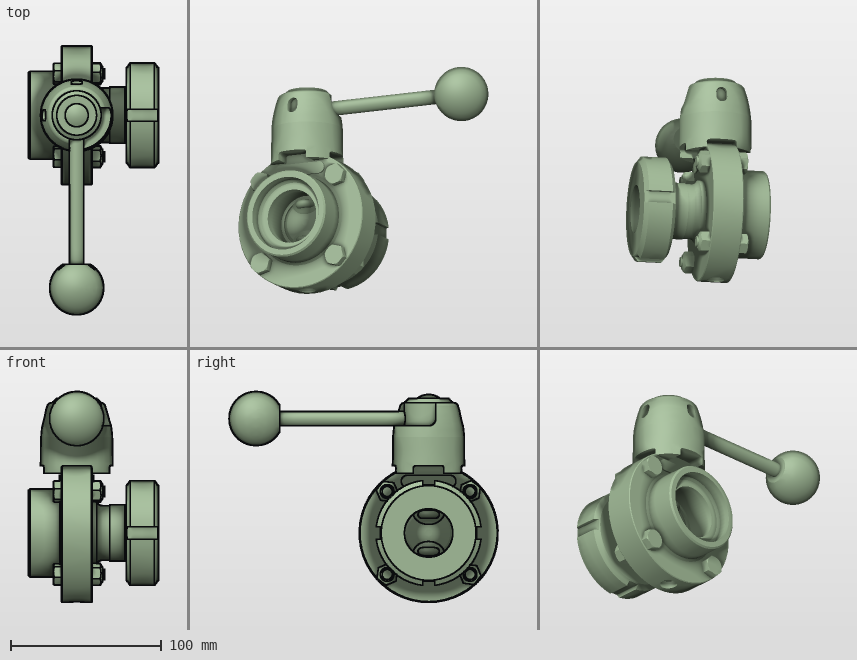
import cadquery as cq
import math


flange_radius = 46.0
flange_half_width = 10.2
flange_chamfer = 0.5
stem_hole_diameter = 11.4
stem_hole_depth = 5.3

pad_length = 36.2
pad_height = 8.0
pad_center_z = 34.2
pad_thickness = 1.2

hub_end_x = -31.9
hub_radius = 29.2
hub_chamfer = 1.0
collar_radius = 30.8
collar_width = 1.0
socket_radius = 24.5
socket_depth = 8.4
socket_bevel_depth = 1.2
socket_floor_radius = 22.6
counterbore_radius = 18.0
counterbore_end_x = -2.1
bore_radius = 16.0

neck_shoulder_x = 13.2
neck_shoulder_radius = 20.8
neck_flare_mid_x = 14.5
neck_flare_mid_radius = 19.0
neck_flare_end_x = 17.3
neck_radius = 18.2
liner_start_x = 22.0
liner_end_x = 31.9
liner_radius = 18.7

union_start_x = 32.8
union_end_x = 54.2
union_radius = 35.0
union_chamfer_radial = 3.5
union_chamfer_axial = 2.7
union_slot_width = 8.0
union_slot_depth = 3.0
union_slot_count = 4

disc_flat_radius = 2.3
disc_center_half_width = 2.1
disc_edge_radius = 14.3
disc_edge_half_width = 1.2
disc_rim_half_width = 0.5
trunnion_radius = 7.5
trunnion_tube_radius = 2.7
trunnion_center_z = 12.3
boss_base_radius = 10.3
boss_top_radius = 4.8
boss_half_width = 3.5
boss_center_z = 14.5

bolt_offset = 27.5
hex_corner_diameter = 14.6
head_height = 5.3
head_chamfer = 0.9
nut_height = 7.1
nut_turn = 8.0
nut_cone_height = 1.8
nut_tip_diameter = 9.0
stud_diameter = 6.8
stud_end_x = 18.5

housing_bottom_z = 39.4
rim_notch_top_z = 44.5
housing_bottom_radius = 24.0
housing_waist_z = 63.5
housing_waist_radius = 23.7
housing_mid_z = 74.0
housing_mid_radius = 22.3
housing_shoulder_z = 83.7
housing_shoulder_radius = 19.6
housing_rim_mid_radius = 18.5
housing_rim_mid_z = 85.5
rim_notch_round = 1.8

core_radius = 16.2
core_bevel_z = 86.2
core_top_radius = 13.2
core_top_z = 89.0
button_radius = 7.7
button_height = 2.7

handle_z = 75.7
rod_radius = 4.8
ball_radius = 18.0
ball_center_y = -114.2
ball_flat_y = -98.5

window_width = 7.3
window_height = 10.3


def turned_about_x(outline):
    """Revolve an outline of (x, radius) about the pipe axis."""
    return outline.close().revolve(360, (0, 0, 0), (1, 0, 0))


def turned_about_z(outline):
    """Revolve an outline of (radius, z) about the stem axis."""
    return outline.close().revolve(360, (0, 0, 0), (0, 1, 0))


def cylinder_x(radius, start_x, end_x):
    return cq.Workplane("YZ", origin=(start_x, 0, 0)).circle(radius).extrude(end_x - start_x)


def box_between(low, high):
    size = [b - a for a, b in zip(low, high)]
    return cq.Workplane("XY").box(*size, centered=False).translate(low)


def make_flange():
    flange = cylinder_x(flange_radius, -flange_half_width, flange_half_width)
    flange = flange.faces("<X or >X").chamfer(flange_chamfer)
    hole_mouth = cq.Workplane("XY", origin=(0, 0, -flange_radius))
    stem_hole = hole_mouth.circle(stem_hole_diameter / 2).extrude(stem_hole_depth)
    pad_reach = flange_half_width + pad_thickness
    pads = (
        cq.Workplane("YZ", origin=(-pad_reach, 0, 0))
        .center(0, pad_center_z)
        .slot2D(pad_length, pad_height)
        .extrude(2 * pad_reach)
    )
    return flange.cut(stem_hole).union(pads)


def make_hub():
    hub = cylinder_x(hub_radius, hub_end_x, 0).faces("<X").chamfer(hub_chamfer)
    collar = turned_about_x(
        cq.Workplane("XY")
        .moveTo(-flange_half_width - collar_width, 0)
        .lineTo(-flange_half_width - collar_width, hub_radius)
        .lineTo(-flange_half_width, collar_radius)
        .lineTo(-flange_half_width, 0)
    )
    return hub.union(collar)


def make_neck():
    return turned_about_x(
        cq.Workplane("XY")
        .moveTo(0, 0)
        .lineTo(0, neck_shoulder_radius)
        .lineTo(neck_shoulder_x, neck_shoulder_radius)
        .threePointArc((neck_flare_mid_x, neck_flare_mid_radius), (neck_flare_end_x, neck_radius))
        .lineTo(liner_start_x, neck_radius)
        .lineTo(liner_start_x, liner_radius)
        .lineTo(liner_end_x, liner_radius)
        .lineTo(liner_end_x, neck_radius)
        .lineTo(union_start_x, neck_radius)
        .lineTo(union_start_x, 0)
    )


def make_union_nut():
    face_radius = union_radius - union_chamfer_radial
    nut = turned_about_x(
        cq.Workplane("XY")
        .moveTo(union_start_x, 0)
        .lineTo(union_start_x, face_radius)
        .lineTo(union_start_x + union_chamfer_axial, union_radius)
        .lineTo(union_end_x - union_chamfer_axial, union_radius)
        .lineTo(union_end_x, face_radius)
        .lineTo(union_end_x, 0)
    )
    slot = box_between(
        (union_start_x, -union_slot_width / 2, union_radius - union_slot_depth),
        (union_end_x, union_slot_width / 2, union_radius + union_slot_depth),
    )
    for index in range(union_slot_count):
        nut = nut.cut(slot.rotate((0, 0, 0), (1, 0, 0), index * 360 / union_slot_count))
    return nut


def make_passage():
    """Stepped socket and bore through the whole pipe line."""
    socket_floor_x = hub_end_x + socket_depth + socket_bevel_depth
    return turned_about_x(
        cq.Workplane("XY")
        .moveTo(hub_end_x, 0)
        .lineTo(hub_end_x, socket_radius)
        .lineTo(hub_end_x + socket_depth, socket_radius)
        .lineTo(socket_floor_x, socket_floor_radius)
        .lineTo(socket_floor_x, counterbore_radius)
        .lineTo(counterbore_end_x, counterbore_radius)
        .lineTo(counterbore_end_x, bore_radius)
        .lineTo(union_end_x, bore_radius)
        .lineTo(union_end_x, 0)
    )


def make_disc():
    """Lens-shaped disc with a round-edged trunnion and tapered bosses at its top and bottom."""
    half_section = [
        (disc_center_half_width, 0),
        (disc_center_half_width, disc_flat_radius),
        (disc_edge_half_width, disc_edge_radius),
        (disc_rim_half_width, bore_radius),
    ]
    mirrored = [(-x, radius) for x, radius in reversed(half_section)]
    disc = turned_about_x(cq.Workplane("XY").polyline(half_section + mirrored))

    boss = turned_about_x(
        cq.Workplane("XY")
        .moveTo(-boss_half_width, 0)
        .lineTo(-boss_half_width, boss_top_radius)
        .lineTo(-disc_edge_half_width, boss_base_radius)
        .lineTo(disc_edge_half_width, boss_base_radius)
        .lineTo(boss_half_width, boss_top_radius)
        .lineTo(boss_half_width, 0)
    ).translate((0, 0, boss_center_z))
    boss = boss.intersect(cylinder_x(bore_radius, -boss_half_width, boss_half_width))

    ring_start_z = trunnion_center_z - trunnion_tube_radius
    ring_end_z = trunnion_center_z + trunnion_tube_radius
    ring_flat_radius = trunnion_radius - trunnion_tube_radius
    trunnion = turned_about_z(
        cq.Workplane("XZ")
        .moveTo(0, ring_start_z)
        .lineTo(ring_flat_radius, ring_start_z)
        .threePointArc((trunnion_radius, trunnion_center_z), (ring_flat_radius, ring_end_z))
        .lineTo(0, ring_end_z)
    )
    trunnion = trunnion.union(boss)
    return disc.union(trunnion).union(trunnion.mirror("XY"))


def make_bolt():
    """Bolt along X on the pipe axis, head flat facing +Z and nut turned slightly past it."""
    head_start_x = -flange_half_width - head_height
    nut_end_x = flange_half_width + nut_height
    corner_radius = hex_corner_diameter / 2
    head = (
        cq.Workplane("YZ", origin=(head_start_x, 0, 0))
        .polygon(6, hex_corner_diameter)
        .extrude(head_height)
    )
    nut = (
        cq.Workplane("YZ", origin=(flange_half_width, 0, 0))
        .polygon(6, hex_corner_diameter)
        .extrude(nut_height)
        .rotate((0, 0, 0), (1, 0, 0), nut_turn)
    )
    chamfer_limits = turned_about_x(
        cq.Workplane("XY")
        .moveTo(head_start_x, 0)
        .lineTo(head_start_x, corner_radius - head_chamfer)
        .lineTo(head_start_x + head_chamfer, corner_radius)
        .lineTo(nut_end_x - nut_cone_height, corner_radius)
        .lineTo(nut_end_x, nut_tip_diameter / 2)
        .lineTo(nut_end_x, 0)
    )
    stud = cylinder_x(stud_diameter / 2, -flange_half_width, stud_end_x)
    return head.union(nut).intersect(chamfer_limits).union(stud)


def make_bolts():
    circle_radius = bolt_offset * math.sqrt(2)
    bolt = make_bolt().translate((0, 0, circle_radius))
    bolts = cq.Workplane("XY")
    for angle in (45, 135, 225, 315):
        bolts = bolts.union(bolt.rotate((0, 0, 0), (1, 0, 0), angle))
    return bolts


def make_housing_shell():
    return turned_about_z(
        cq.Workplane("XZ")
        .moveTo(0, housing_bottom_z)
        .lineTo(housing_bottom_radius, housing_bottom_z)
        .lineTo(housing_waist_radius, housing_waist_z)
        .threePointArc(
            (housing_mid_radius, housing_mid_z),
            (housing_shoulder_radius, housing_shoulder_z),
        )
        .threePointArc(
            (housing_rim_mid_radius, housing_rim_mid_z),
            (core_radius, core_bevel_z),
        )
        .lineTo(0, core_bevel_z)
    )


def make_core():
    button_top_z = core_top_z + button_height
    dome_radius = (button_radius**2 + button_height**2) / (2 * button_height)
    dome_mid_radius = button_radius / 2
    dome_mid_z = button_top_z - dome_radius + math.sqrt(dome_radius**2 - dome_mid_radius**2)
    return turned_about_z(
        cq.Workplane("XZ")
        .moveTo(0, rim_notch_top_z)
        .lineTo(core_radius, rim_notch_top_z)
        .lineTo(core_radius, core_bevel_z)
        .lineTo(core_top_radius, core_top_z)
        .lineTo(button_radius, core_top_z)
        .threePointArc((dome_mid_radius, dome_mid_z), (0, button_top_z))
    )


def make_swing_space():
    """Quarter-turn opening for the rod, from -Y round to +X, with rounded ends and an open top."""
    reach = 2 * housing_bottom_radius
    end_along_y = cq.Workplane("XZ").center(0, handle_z).circle(rod_radius).extrude(reach)
    end_along_x = cq.Workplane("YZ").center(0, handle_z).circle(rod_radius).extrude(reach)
    floor_space = box_between((0, -reach, handle_z - rod_radius), (reach, 0, core_top_z))
    upper_space = box_between((-rod_radius, -reach, handle_z), (reach, rod_radius, core_top_z))
    return end_along_y.union(end_along_x).union(floor_space).union(upper_space)


def make_windows():
    """Upright windows on the -X and +Y sides, at the height of the rod."""
    window_x = (
        cq.Workplane("YZ")
        .center(0, handle_z)
        .slot2D(window_height, window_width, 90)
        .extrude(-housing_bottom_radius)
    )
    return window_x.union(window_x.rotate((0, 0, 0), (0, 0, 1), -90))


def make_rim_notches():
    """Crossed slots that notch the bottom rim at +-X and +-Y, as wide as the flange."""
    slot_height = rim_notch_top_z - housing_bottom_z
    slots = (
        cq.Workplane("XY", origin=(0, 0, housing_bottom_z))
        .box(
            2 * housing_bottom_radius,
            2 * flange_half_width,
            slot_height,
            centered=(True, True, False),
        )
        .edges("|X and >Z")
        .fillet(rim_notch_round)
    )
    return slots.union(slots.rotate((0, 0, 0), (0, 0, 1), 90))


def make_housing():
    shell = make_housing_shell().cut(make_swing_space()).cut(make_windows())
    return shell.cut(make_rim_notches()).union(make_core())


def make_handle():
    rod = cq.Workplane("XZ").center(0, handle_z).circle(rod_radius).extrude(-ball_center_y)
    ball = cq.Workplane("XY").sphere(ball_radius).translate((0, ball_center_y, handle_z))
    beyond_flat = box_between(
        (-ball_radius, ball_flat_y, handle_z - ball_radius),
        (ball_radius, ball_center_y + ball_radius, handle_z + ball_radius),
    )
    return rod.union(ball.cut(beyond_flat))


pipe_line = make_flange().union(make_hub()).union(make_neck()).union(make_union_nut())
pipe_line = pipe_line.cut(make_passage()).union(make_disc()).union(make_bolts())

result = pipe_line.union(make_housing()).union(make_handle())